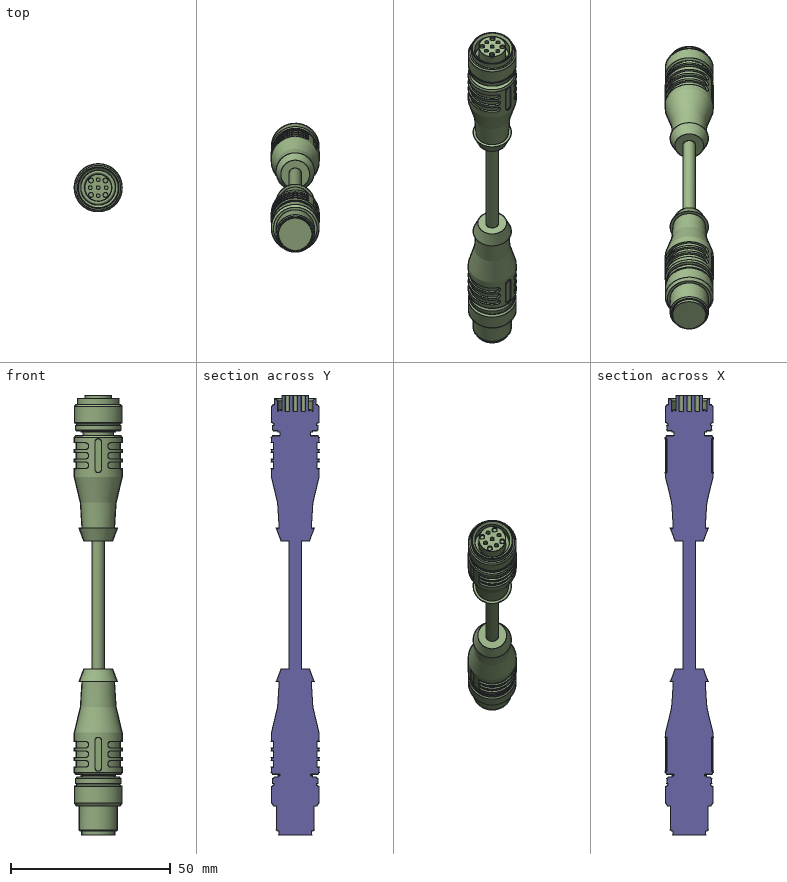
import cadquery as cq
import math

TOTAL_LENGTH = 137.5
CABLE_DIA = 4.0

GRIP_DIA = 15.04
GRIP_END_DIA = 14.2
GRIP_CHAMFER_LENGTH = 0.6
GRIP_LENGTH = 13.0
TAPER_LENGTH = 8.0
SLEEVE_LENGTH = 8.0
COLLAR_LENGTH = 4.0
SLEEVE_WIDE_DIA = 11.2
SLEEVE_NARROW_DIA = 10.2
COLLAR_WIDE_DIA = 12.0
COLLAR_NARROW_DIA = 9.0
BODY_LENGTH = GRIP_LENGTH + TAPER_LENGTH + SLEEVE_LENGTH + COLLAR_LENGTH

GROOVE_CENTRE = 6.3
GROOVE_COUNT = 3
GROOVE_PITCH = 3.0
GROOVE_HEIGHT = 2.1
GROOVE_FLOOR_DIA = 13.9
GROOVE_HALF_GAP = 3.0
LONG_GROOVE_LENGTH = 10.6
LONG_GROOVE_WIDTH = 2.0
LONG_GROOVE_FLOOR = 7.1

NUT_DIA = 15.0
NUT_GROOVE_DIA = 13.5
NUT_GROOVE_START = 0.4
NUT_GROOVE_END = 0.9
STEP_DIA = 14.25
FLANGE_DIA = 10.95
FLANGE_LENGTH = 0.35
NECK_DIA = 9.6

PLUG_LENGTH = 18.95
PLUG_TIP_DIA = 10.45
PLUG_TIP_HEIGHT = 1.2
PLUG_TUBE_DIA = 12.0
PLUG_TUBE_CHAMFER = 0.4
PLUG_NUT_BOTTOM = 9.05
PLUG_NUT_BOTTOM_DIA = 13.6
PLUG_NUT_CHAMFER_LENGTH = 1.0
PLUG_NUT_TOP = 15.2
PLUG_STEP_TOP = 18.2
PLUG_STEP_CHAMFER = 0.6

SOCKET_LENGTH = 12.55
NOSE_DIA = 8.38
RING_DEPTH = 0.9
RING_DIA = 13.0
RING_MOUTH_DIA = 12.5
RING_BORE_DIA = 10.95
RECESS_DEPTH = 5.0
SOCKET_NUT_TOP = 2.9
SOCKET_NUT_CHAMFER = 0.5
SOCKET_NUT_BOTTOM = 8.5
SOCKET_STEP_BOTTOM = 11.1
SOCKET_STEP_CHAMFER = 0.3
SEAL_SECTION_DIA = 1.15

CONTACT_DIA = 1.15
CONTACT_CIRCLE_RADIUS = 2.5
CONTACT_DEPTH = 5.0
DIAGONAL_HOLE_DIA = 1.5
DIAGONAL_CIRCLE_RADIUS = 3.2
DIAGONAL_HOLE_DEPTH = 1.0


def turned(stations):
    """Solid of revolution about Z through (diameter, height) stations."""
    outline = [(0, stations[0][1])]
    outline += [(diameter / 2, height) for diameter, height in stations]
    outline += [(0, stations[-1][1])]
    return cq.Workplane("XZ").polyline(outline).close().revolve(360, (0, 0), (0, 1))


def finger_grooves():
    """Cutter for the round-ended grooves that wrap around the +X and -X sides."""
    reach = GRIP_DIA
    band = (
        cq.Workplane("XY")
        .circle(reach)
        .circle(GROOVE_FLOOR_DIA / 2)
        .extrude(GRIP_LENGTH)
    )
    middle = (GROOVE_COUNT - 1) / 2
    centres = [
        (side * (GROOVE_HALF_GAP + reach / 2), GROOVE_CENTRE + (index - middle) * GROOVE_PITCH)
        for side in (-1, 1)
        for index in range(GROOVE_COUNT)
    ]
    slots = (
        cq.Workplane("XZ")
        .pushPoints(centres)
        .slot2D(reach, GROOVE_HEIGHT)
        .extrude(reach, both=True)
    )
    return band.intersect(slots)


def long_groove(side):
    """Cutter for the lengthwise groove on the given Y side (+1 or -1)."""
    return (
        cq.Workplane("XZ", origin=(0, side * LONG_GROOVE_FLOOR, 0))
        .center(0, GROOVE_CENTRE)
        .slot2D(LONG_GROOVE_LENGTH, LONG_GROOVE_WIDTH, 90)
        .extrude(-side * GRIP_DIA)
    )


def grip_body():
    """Moulded grip with its grip end face at Z = 0 and the cable exit upward."""
    taper_end = GRIP_LENGTH + TAPER_LENGTH
    sleeve_end = taper_end + SLEEVE_LENGTH
    body = turned([
        (GRIP_END_DIA, 0),
        (GRIP_DIA, GRIP_CHAMFER_LENGTH),
        (GRIP_DIA, GRIP_LENGTH),
        (SLEEVE_WIDE_DIA, taper_end),
        (SLEEVE_NARROW_DIA, sleeve_end),
        (COLLAR_WIDE_DIA, sleeve_end),
        (COLLAR_NARROW_DIA, BODY_LENGTH),
    ])
    body = body.cut(finger_grooves())
    for side in (-1, 1):
        body = body.cut(long_groove(side))
    return body


def stepped_ring(nut_face, ring_end, chamfer):
    """Stations from the nut's back face, across its groove and step, to the neck."""
    direction = math.copysign(1, ring_end - nut_face)
    groove_start = nut_face + direction * NUT_GROOVE_START
    groove_end = nut_face + direction * NUT_GROOVE_END
    flange_end = ring_end + direction * FLANGE_LENGTH
    return [
        (NUT_DIA, nut_face),
        (NUT_GROOVE_DIA, groove_start),
        (NUT_GROOVE_DIA, groove_end),
        (STEP_DIA, groove_end),
        (STEP_DIA, ring_end - direction * chamfer),
        (STEP_DIA - 2 * chamfer, ring_end),
        (FLANGE_DIA, ring_end),
        (FLANGE_DIA, flange_end),
        (NECK_DIA, flange_end),
    ]


def plug_end():
    """Plug tube and coupling nut, standing on Z = 0."""
    tube_and_nut = [
        (PLUG_TIP_DIA, 0),
        (PLUG_TIP_DIA, PLUG_TIP_HEIGHT),
        (PLUG_TUBE_DIA - 2 * PLUG_TUBE_CHAMFER, PLUG_TIP_HEIGHT),
        (PLUG_TUBE_DIA, PLUG_TIP_HEIGHT + PLUG_TUBE_CHAMFER),
        (PLUG_TUBE_DIA, PLUG_NUT_BOTTOM),
        (PLUG_NUT_BOTTOM_DIA, PLUG_NUT_BOTTOM),
        (NUT_DIA, PLUG_NUT_BOTTOM + PLUG_NUT_CHAMFER_LENGTH),
    ]
    ring = stepped_ring(PLUG_NUT_TOP, PLUG_STEP_TOP, PLUG_STEP_CHAMFER)
    return turned(tube_and_nut + ring + [(NECK_DIA, PLUG_LENGTH)])


def nose_holes(centres, diameter, depth):
    """Cutter for equal blind holes in the nose face at Z = 0."""
    return cq.Workplane("XY").pushPoints(centres).circle(diameter / 2).extrude(-depth)


def four_around(radius, first_angle):
    """Four points on a circle about Z, a quarter turn apart."""
    angles = [math.radians(first_angle + 90 * index) for index in range(4)]
    return [(radius * math.cos(angle), radius * math.sin(angle)) for angle in angles]


def seal_ring():
    """Seal lying on the floor of the recess around the nose, sunk to half its section."""
    seal_radius = (RING_BORE_DIA + NOSE_DIA) / 4
    return (
        cq.Workplane("XZ")
        .center(seal_radius, -RECESS_DEPTH)
        .circle(SEAL_SECTION_DIA / 2)
        .revolve(360, (-seal_radius, 0), (-seal_radius, 1))
    )


def socket_end():
    """Socket insert and coupling nut, with its top face at Z = 0 and the rest below."""
    mouth_chamfer = (RING_MOUTH_DIA - RING_BORE_DIA) / 2
    nose_and_nut = [
        (NOSE_DIA, 0),
        (NOSE_DIA, -RECESS_DEPTH),
        (RING_BORE_DIA, -RECESS_DEPTH),
        (RING_BORE_DIA, -RING_DEPTH - mouth_chamfer),
        (RING_MOUTH_DIA, -RING_DEPTH),
        (RING_DIA, -RING_DEPTH),
        (RING_DIA, -SOCKET_NUT_TOP),
        (NUT_DIA - 2 * SOCKET_NUT_CHAMFER, -SOCKET_NUT_TOP),
        (NUT_DIA, -SOCKET_NUT_TOP - SOCKET_NUT_CHAMFER),
    ]
    ring = stepped_ring(-SOCKET_NUT_BOTTOM, -SOCKET_STEP_BOTTOM, SOCKET_STEP_CHAMFER)
    socket = turned(nose_and_nut + ring + [(NECK_DIA, -SOCKET_LENGTH)])
    contacts = [(0, 0)] + four_around(CONTACT_CIRCLE_RADIUS, 0)
    diagonals = four_around(DIAGONAL_CIRCLE_RADIUS, 45)
    return (
        socket.union(seal_ring())
        .cut(nose_holes(contacts, CONTACT_DIA, CONTACT_DEPTH))
        .cut(nose_holes(diagonals, DIAGONAL_HOLE_DIA, DIAGONAL_HOLE_DEPTH))
    )


socket_body_face = TOTAL_LENGTH - SOCKET_LENGTH
cable_start = PLUG_LENGTH + BODY_LENGTH
cable_end = socket_body_face - BODY_LENGTH

cable = turned([(CABLE_DIA, cable_start), (CABLE_DIA, cable_end)])
plug_body = grip_body().translate((0, 0, PLUG_LENGTH))
socket_body = grip_body().mirror("XY").translate((0, 0, socket_body_face))
socket = socket_end().translate((0, 0, TOTAL_LENGTH))

result = plug_end().union(plug_body).union(cable).union(socket_body).union(socket)